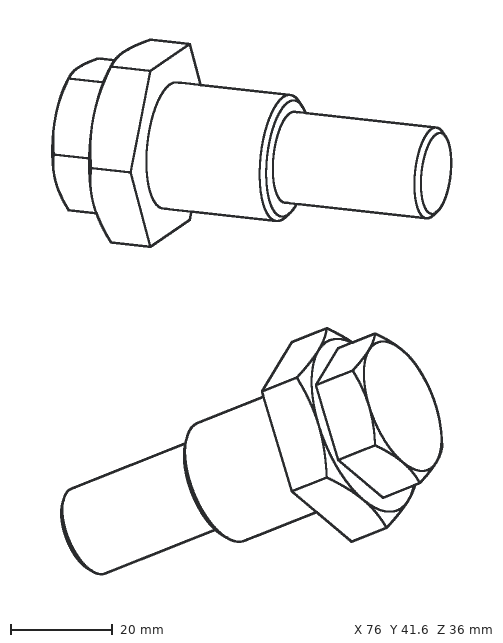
import cadquery as cq
import math

overall_length = 76.0
head_thickness = 10.0
flange_end = 20.0
sleeve_end = 45.0
flange_across_flats = 36.0
sleeve_diameter = 25.0
head_across_flats = 27.0
pin_diameter = 18.0
eccentricity = 1.0
end_chamfer = 1.0
hex_chamfer_angle = 30.0


def rod(start, end, diameter):
    """Round bar along X between two X positions."""
    return cq.Workplane("YZ").workplane(offset=start).circle(diameter / 2).extrude(end - start)


def chamfered_hexagon(start, end, across_flats):
    """Hexagon along X with corners on Y and its front face turned to a circle."""
    flat_radius = across_flats / 2
    corner_radius = flat_radius / math.cos(math.radians(30))
    chamfer_depth = (corner_radius - flat_radius) * math.tan(math.radians(hex_chamfer_angle))
    prism = (
        cq.Workplane("YZ").workplane(offset=start)
        .polygon(6, 2 * corner_radius).extrude(end - start)
    )
    turned_envelope = (
        cq.Workplane("XY")
        .moveTo(start, 0)
        .lineTo(start, flat_radius)
        .lineTo(start + chamfer_depth, corner_radius)
        .lineTo(end, corner_radius)
        .lineTo(end, 0)
        .close()
        .revolve(360, (0, 0, 0), (1, 0, 0))
    )
    return prism.intersect(turned_envelope)


def make_bushing():
    """Hex flange and sleeve with an eccentric through bore for the pin."""
    flange = chamfered_hexagon(head_thickness, flange_end, flange_across_flats)
    sleeve = rod(flange_end, sleeve_end, sleeve_diameter).faces(">X").chamfer(end_chamfer)
    bore = rod(head_thickness, sleeve_end, pin_diameter).translate((0, eccentricity, 0))
    return flange.union(sleeve).cut(bore)


def make_pin():
    """Hex-headed pin that fills the bushing bore."""
    head = chamfered_hexagon(0, head_thickness, head_across_flats)
    shank = rod(head_thickness, overall_length, pin_diameter).faces(">X").chamfer(end_chamfer)
    return head.union(shank).translate((0, eccentricity, 0))


bushing = make_bushing()
pin = make_pin()

result = cq.Compound.makeCompound([bushing.val(), pin.val()])